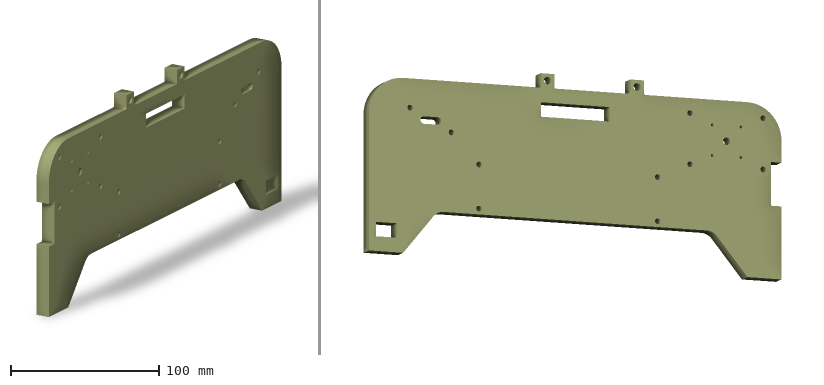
import cadquery as cq

thickness = 10.0
length = 300.0
body_height = 120.0
overall_height = 130.0
half_length = length / 2
corner_radius = 25.0

foot_width = 25.0
arch_height = 30.0
arch_slope_run = 25.0
arch_radius = 10.0

notch_depth = 7.5
notch_bottom = 50.0
notch_top = 80.0

tab_width = 10.0
tab_centers = (20.0, -45.0)
tab_hole_height = 125.0
tab_hole_diameter = 5.0
inner_root_radius = 2.5
outer_root_radius = 1.5

handle_length = 50.0
handle_height = 10.0
handle_center = (0.0, 105.0)
foot_window_length = 15.0
foot_window_height = 10.0
foot_window_center = (137.5, 15.0)

screw_diameter = 4.0
slot_length = 15.0
slot_diameter = 5.0
slot_center = (105.0, 92.0)
slot_screws = ((120.0, 100.0), (90.0, 85.0))
lower_screw_columns = (70.0, -60.0)
lower_screw_rows = (34.0, 64.2)

motor_center = (-110.0, 92.0)
shaft_diameter = 5.0
motor_screw_spacing = (53.0, 35.0)
pilot_diameter = 2.0
pilot_spacing = 21.0


def box_at(center, size_y, size_z):
    """Block through the full thickness, centered at (y, z)."""
    return cq.Workplane("YZ").center(*center).rect(size_y, size_z).extrude(thickness)


def cylinders_at(points, diameter):
    """Round bars through the full thickness, centered at the (y, z) points."""
    return cq.Workplane("YZ").pushPoints(points).circle(diameter / 2).extrude(thickness)


def rectangle_corners(center, spacing_y, spacing_z):
    y, z = center
    return [(y + i * spacing_y / 2, z + j * spacing_z / 2) for i in (-1, 1) for j in (-1, 1)]


def edge_along_x_at(y, z):
    """Selector for the edge along X nearest to (y, z)."""
    return cq.selectors.NearestToPointSelector((thickness / 2, y, z))


def make_body():
    foot_inner = half_length - foot_width
    arch_half = foot_inner - arch_slope_run
    body = (
        cq.Workplane("YZ")
        .moveTo(-half_length, 0)
        .lineTo(-foot_inner, 0)
        .lineTo(-arch_half, arch_height)
        .lineTo(arch_half, arch_height)
        .lineTo(foot_inner, 0)
        .lineTo(half_length, 0)
        .lineTo(half_length, body_height)
        .lineTo(-half_length, body_height)
        .close()
        .extrude(thickness)
    )
    for side in (-1, 1):
        body = body.edges(edge_along_x_at(side * half_length, body_height)).fillet(corner_radius)
        body = body.edges(edge_along_x_at(side * arch_half, arch_height)).fillet(arch_radius)
    return body


def add_tabs(body):
    tab_height = overall_height - body_height
    for y in tab_centers:
        body = body.union(box_at((y, body_height + tab_height / 2), tab_width, tab_height))
    rounded = tab_centers[1]
    for side, radius in ((1, inner_root_radius), (-1, outer_root_radius)):
        body = body.edges(edge_along_x_at(rounded + side * tab_width / 2, body_height)).fillet(radius)
    return body.cut(cylinders_at([(y, tab_hole_height) for y in tab_centers], tab_hole_diameter))


def cut_notch(body):
    center = (-half_length + notch_depth / 2, (notch_bottom + notch_top) / 2)
    return body.cut(box_at(center, notch_depth, notch_top - notch_bottom))


def cut_windows(body):
    body = body.cut(box_at(handle_center, handle_length, handle_height))
    return body.cut(box_at(foot_window_center, foot_window_length, foot_window_height))


def cut_slot(body):
    slot = cq.Workplane("YZ").center(*slot_center).slot2D(slot_length, slot_diameter).extrude(thickness)
    screws = cylinders_at(slot_screws, screw_diameter)
    return body.cut(slot).cut(screws)


def cut_lower_screws(body):
    points = [(y, z) for y in lower_screw_columns for z in lower_screw_rows]
    return body.cut(cylinders_at(points, screw_diameter))


def cut_motor_mount(body):
    screws = rectangle_corners(motor_center, *motor_screw_spacing)
    pilots = rectangle_corners(motor_center, pilot_spacing, pilot_spacing)
    body = body.cut(cylinders_at([motor_center], shaft_diameter))
    body = body.cut(cylinders_at(screws, screw_diameter))
    return body.cut(cylinders_at(pilots, pilot_diameter))


result = make_body()
result = add_tabs(result)
result = cut_notch(result)
result = cut_windows(result)
result = cut_slot(result)
result = cut_lower_screws(result)
result = cut_motor_mount(result)